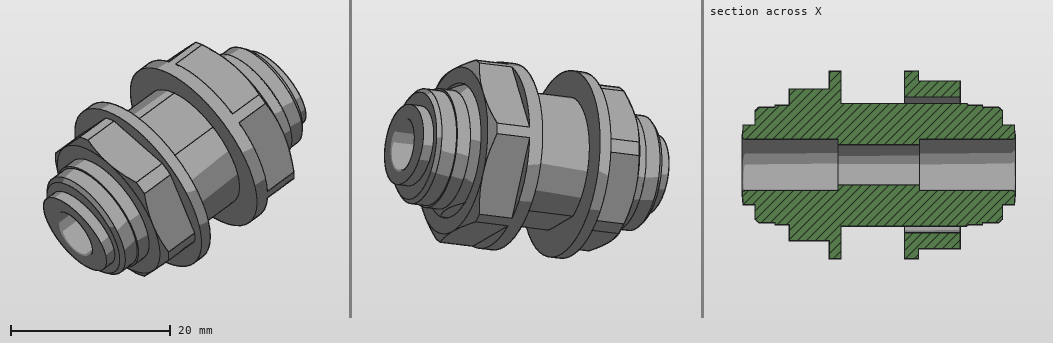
import cadquery as cq
import math


overall_length = 34.2
body_diameter = 17.0
body_across_flats = 15.4
thread_chamfer = 1.0

shoulder_diameter = 15.0
shoulder_start = 11.2
collar_diameter = 14.5
collar_start = 13.0
collar_end = 15.5
collar_chamfer = 0.5

sleeve_width = 11.7
sleeve_height = 10.0
sleeve_face_slope = math.radians(5)

socket_diameter = 6.4
socket_depth = 12.0
mouth_radius = 0.4
bore_diameter = 5.0

flange_diameter = 23.5
hex_chamfer_angle = math.radians(30)
front_flange_back = -4.7
front_flange_face = -6.2
front_hex_face = -shoulder_start
front_hex_across_flats = 19.0
front_hex_corner_diameter = 21.0
nut_back = 3.2
nut_flange_face = 5.0
nut_face = 10.2
nut_across_flats = 21.0
nut_corner_diameter = flange_diameter

half_length = overall_length / 2


def disc(diameter, y_start, y_end):
    """Cylinder on the Y axis between two positions."""
    plane = cq.Plane(origin=(0, y_start, 0), xDir=(1, 0, 0), normal=(0, 1, 0))
    return cq.Workplane(plane).circle(diameter / 2).extrude(y_end - y_start)


def revolve_about_y(profile):
    """Full turn of an XY profile about the Y axis."""
    return profile.close().revolve(360, (0, 0, 0), (0, 1, 0))


def chamfered_hexagon(across_flats, corner_diameter, base, face):
    """Hexagon with flats at +Z and -Z, rounded corners and a cone-chamfered face."""
    plane = cq.Plane(origin=(0, base, 0), xDir=(1, 0, 0), normal=(0, 1, 0))
    across_corners = across_flats / math.cos(math.pi / 6)
    prism = cq.Workplane(plane).polygon(6, across_corners).extrude(face - base)
    corner_radius = corner_diameter / 2
    face_radius = across_flats / 2
    drop = (corner_radius - face_radius) * math.tan(hex_chamfer_angle)
    cone_start = face - math.copysign(drop, face)
    envelope = revolve_about_y(
        cq.Workplane("XY")
        .moveTo(0, base)
        .lineTo(corner_radius, base)
        .lineTo(corner_radius, cone_start)
        .lineTo(face_radius, face)
        .lineTo(0, face)
    )
    return prism.intersect(envelope)


def threaded_body():
    """Body with two flats at +Z and -Z and a chamfer at its +Y end."""
    body = disc(body_diameter, front_flange_face, shoulder_start)
    body = body.faces(">Y").chamfer(thread_chamfer)
    body_length = shoulder_start - front_flange_face
    flats = cq.Workplane("XY").box(body_diameter, body_length, body_across_flats)
    flats = flats.translate((0, (shoulder_start + front_flange_face) / 2, 0))
    return body.intersect(flats)


def end_fitting():
    """Shoulder, chamfered collar and oval sleeve at the +Y end, without the bore."""
    shoulder = disc(shoulder_diameter, 0, collar_start)
    collar = disc(collar_diameter, 0, collar_end).faces(">Y").chamfer(collar_chamfer)

    mouth = socket_diameter / 2 + mouth_radius
    rim = shoulder_diameter / 2
    rim_end = half_length - (rim - mouth) * math.tan(sleeve_face_slope)
    sloped_end = revolve_about_y(
        cq.Workplane("XY")
        .lineTo(rim, 0)
        .lineTo(rim, rim_end)
        .lineTo(mouth, half_length)
        .lineTo(0, half_length)
    )
    oval_plane = cq.Plane(origin=(0, 0, 0), xDir=(1, 0, 0), normal=(0, 1, 0))
    oval = cq.Workplane(oval_plane).ellipse(sleeve_width / 2, sleeve_height / 2)
    sleeve = oval.extrude(half_length).intersect(sloped_end)
    return shoulder.union(collar).union(sleeve)


def tube_socket():
    """Blind socket at the +Y end with a rounded mouth."""
    socket_radius = socket_diameter / 2
    arc_center_radius = socket_radius + mouth_radius
    arc_center_y = half_length - mouth_radius
    arc_offset = mouth_radius * math.sqrt(0.5)
    return revolve_about_y(
        cq.Workplane("XY")
        .moveTo(0, half_length - socket_depth)
        .lineTo(socket_radius, half_length - socket_depth)
        .lineTo(socket_radius, arc_center_y)
        .threePointArc(
            (arc_center_radius - arc_offset, arc_center_y + arc_offset),
            (arc_center_radius, half_length),
        )
        .lineTo(0, half_length)
    )


def both_ends(shape):
    """The +Y shape together with its mirror image at the -Y end."""
    return shape.union(shape.mirror("XZ"))


def nut():
    """Flanged nut whose round hole leaves a gap over each body flat."""
    hexagon = chamfered_hexagon(
        nut_across_flats, nut_corner_diameter, nut_flange_face, nut_face
    )
    flange = disc(flange_diameter, nut_back, nut_flange_face)
    return flange.union(hexagon).cut(disc(body_diameter, nut_back, nut_face))


def front_head():
    """Flange and hexagon fixed to the body."""
    hexagon = chamfered_hexagon(
        front_hex_across_flats, front_hex_corner_diameter, front_flange_face, front_hex_face
    )
    return disc(flange_diameter, front_flange_face, front_flange_back).union(hexagon)


result = (
    threaded_body()
    .union(both_ends(end_fitting()))
    .union(front_head())
    .union(nut())
    .cut(both_ends(tube_socket()))
    .cut(disc(bore_diameter, -half_length, half_length))
)